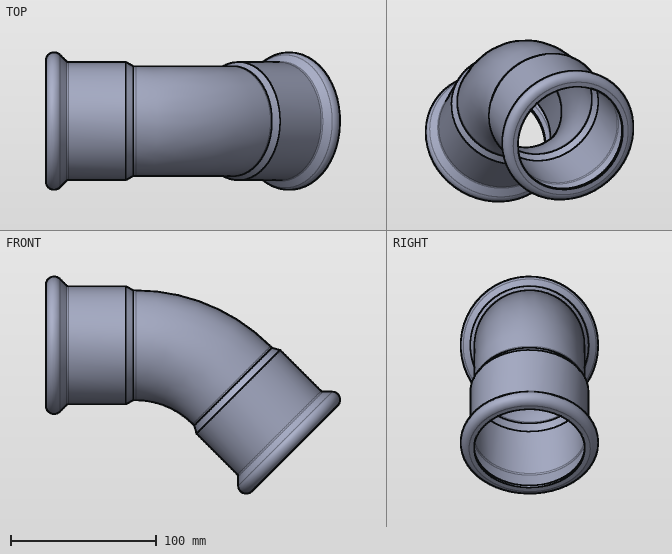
import cadquery as cq
import math

wall = 2.0

bend_angle = 45.0
bend_radius = 92.8
tube_radius = 37.7
tube_bore = tube_radius - wall

end_length = 61.5
neck_start = 54.9
neck_end = 60.0
socket_radius = 40.5
socket_bore = socket_radius - wall

rim_radius = 47.2
bead_radius = 5.6
bead_center_radius = rim_radius - bead_radius
mouth_radius = 38.0

flank_angle = math.radians(45.0)
blend_radius = 1.6


def bead_point(radius, angle):
    """Point (x, r) on a round about the bead centre; angle 0 points inward along the axis."""
    return (
        bead_radius + radius * math.cos(angle),
        bead_center_radius + radius * math.sin(angle),
    )


def blend_points(bead_skin, socket_skin):
    """Start, middle and end of the blend from the flank of a bead skin to a socket skin."""
    center_r = socket_skin + blend_radius
    bead_rise = (center_r - bead_center_radius) * math.sin(flank_angle)
    center_x = bead_radius + (bead_skin + blend_radius - bead_rise) / math.cos(flank_angle)
    socket_angle = math.pi / 2
    angles = (flank_angle, (flank_angle + socket_angle) / 2, socket_angle)
    return [
        (center_x - blend_radius * math.cos(angle), center_r - blend_radius * math.sin(angle))
        for angle in angles
    ]


def socket_end():
    """Hollow end piece along +X, with its open face at X = 0."""
    face_angle = math.pi
    bead_middle = (face_angle + flank_angle) / 2
    inner_bead = bead_radius - wall
    outer_start, outer_middle, outer_end = blend_points(bead_radius, socket_radius)
    inner_start, inner_middle, inner_end = blend_points(inner_bead, socket_bore)
    return (
        cq.Workplane("XY")
        .moveTo(0, mouth_radius)
        .lineTo(0, bead_center_radius)
        .threePointArc(bead_point(bead_radius, bead_middle), bead_point(bead_radius, flank_angle))
        .lineTo(*outer_start)
        .threePointArc(outer_middle, outer_end)
        .lineTo(neck_start, socket_radius)
        .lineTo(neck_end, tube_radius)
        .lineTo(end_length, tube_radius)
        .lineTo(end_length, tube_bore)
        .lineTo(neck_end, tube_bore)
        .lineTo(neck_start, socket_bore)
        .lineTo(*inner_end)
        .threePointArc(inner_middle, inner_start)
        .lineTo(*bead_point(inner_bead, flank_angle))
        .threePointArc(bead_point(inner_bead, bead_middle), bead_point(inner_bead, face_angle))
        .lineTo(wall, mouth_radius)
        .close()
        .revolve(360, (0, 0, 0), (1, 0, 0))
    )


def bend():
    """Curved tube that turns down from +X toward -Z."""
    return (
        cq.Workplane("YZ", origin=(end_length, 0, 0))
        .circle(tube_radius)
        .circle(tube_bore)
        .revolve(bend_angle, (0, -bend_radius, 0), (1, -bend_radius, 0))
    )


inlet = socket_end()
outlet = (
    inlet.mirror("YZ", (end_length, 0, 0))
    .rotate((end_length, 0, -bend_radius), (end_length, 1, -bend_radius), bend_angle)
)
result = inlet.union(bend()).union(outlet)